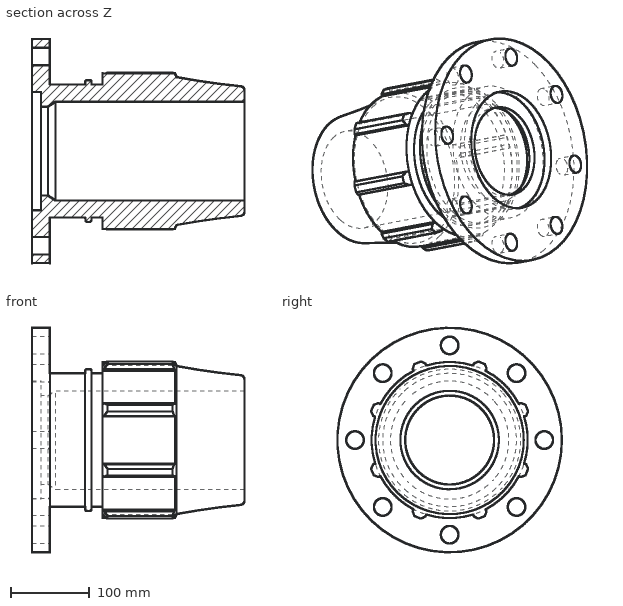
import cadquery as cq


flange_diameter = 285.0
ring_thickness = 11.5
flange_thickness = 2 * ring_thickness
recess_diameter = 150.0
bolt_circle_diameter = 240.0
bolt_hole_diameter = 22.0
bolt_hole_count = 8

neck_diameter = 169.6
bead_diameter = 180.2
bead_start = 67.5
bead_width = 8.5
bead_fillet = 2.8

nut_start = 89.5
nut_end = 181.6
nut_diameter = 198.0

rib_count = 8
rib_crest_radius = 106.0
rib_crest_width = 9.0
rib_base_width = 17.4
rib_shoulder_radius = 101.4
rib_start_chamfer = 6.5
envelope_clearance = 1.0

sleeve_start = 183.8
sleeve_end = 270.0
sleeve_start_diameter = 188.0
sleeve_end_diameter = 164.0
sleeve_sag = 1.0
sleeve_fillet = 6.0

bore_diameter = 112.5
pipe_socket_diameter = 125.0
socket_taper_start = 20.5
socket_taper_end = 30.0


def cylinder(diameter, start, end):
    """Solid cylinder on the X axis between two stations."""
    return cq.Workplane("YZ", origin=(start, 0, 0)).circle(diameter / 2).extrude(end - start)


def revolve_about_x(profile):
    """Close a half-profile in the XY plane and spin it about the X axis."""
    return profile.close().revolve(360, (0, 0, 0), (1, 0, 0))


def make_flange():
    holes = (
        cq.Workplane("YZ")
        .polarArray(bolt_circle_diameter / 2, 0, 360, bolt_hole_count)
        .circle(bolt_hole_diameter / 2)
        .extrude(flange_thickness)
    )
    recess = cylinder(recess_diameter, 0, ring_thickness)
    return cylinder(flange_diameter, 0, flange_thickness).cut(recess).cut(holes)


def make_neck():
    bead = cylinder(bead_diameter, bead_start, bead_start + bead_width).edges().fillet(bead_fillet)
    return cylinder(neck_diameter, ring_thickness, nut_start).union(bead)


def make_rib_bar():
    """Full-length rib reaching in to the axis, with a bevelled crest."""
    return (
        cq.Workplane("YZ", origin=(nut_start, 0, 0))
        .moveTo(-rib_base_width / 2, 0)
        .lineTo(-rib_base_width / 2, rib_shoulder_radius)
        .lineTo(-rib_crest_width / 2, rib_crest_radius)
        .lineTo(rib_crest_width / 2, rib_crest_radius)
        .lineTo(rib_base_width / 2, rib_shoulder_radius)
        .lineTo(rib_base_width / 2, 0)
        .close()
        .extrude(sleeve_start - nut_start)
    )


def make_nut_envelope():
    """Solid of revolution whose end cones chamfer the ribs and the barrel end."""
    nut_radius = nut_diameter / 2
    sleeve_radius = sleeve_start_diameter / 2
    outer_radius = rib_crest_radius + envelope_clearance
    outer_rise = outer_radius - nut_radius
    start_run = outer_rise * rib_start_chamfer / (rib_crest_radius - nut_radius)
    end_run = outer_rise * (sleeve_start - nut_end) / (nut_radius - sleeve_radius)
    return revolve_about_x(
        cq.Workplane("XY")
        .moveTo(nut_start, 0)
        .lineTo(nut_start, nut_radius)
        .lineTo(nut_start + start_run, outer_radius)
        .lineTo(nut_end - end_run, outer_radius)
        .lineTo(sleeve_start, sleeve_radius)
        .lineTo(sleeve_start, 0)
    )


def make_nut():
    """Round barrel with ribs, the first half a pitch from the Z axis, and chamfered ends."""
    nut = cylinder(nut_diameter, nut_start, sleeve_start)
    rib_bar = make_rib_bar()
    pitch = 360 / rib_count
    for index in range(rib_count):
        nut = nut.union(rib_bar.rotate((0, 0, 0), (1, 0, 0), (index + 0.5) * pitch))
    return nut.intersect(make_nut_envelope())


def make_sleeve():
    start_radius = sleeve_start_diameter / 2
    end_radius = sleeve_end_diameter / 2
    middle = ((sleeve_start + sleeve_end) / 2, (start_radius + end_radius) / 2 - sleeve_sag)
    sleeve = revolve_about_x(
        cq.Workplane("XY")
        .moveTo(sleeve_start, 0)
        .lineTo(sleeve_start, start_radius)
        .threePointArc(middle, (sleeve_end, end_radius))
        .lineTo(sleeve_end, 0)
    )
    return sleeve.faces(">X").edges().fillet(sleeve_fillet)


def make_bore():
    """Through bore that tapers out to the pipe socket, open at the sleeve end."""
    bore_radius = bore_diameter / 2
    socket_radius = pipe_socket_diameter / 2
    return revolve_about_x(
        cq.Workplane("XY")
        .lineTo(0, bore_radius)
        .lineTo(socket_taper_start, bore_radius)
        .lineTo(socket_taper_end, socket_radius)
        .lineTo(sleeve_end, socket_radius)
        .lineTo(sleeve_end, 0)
    )


result = (
    make_flange()
    .union(make_neck())
    .union(make_nut())
    .union(make_sleeve())
    .cut(make_bore())
)